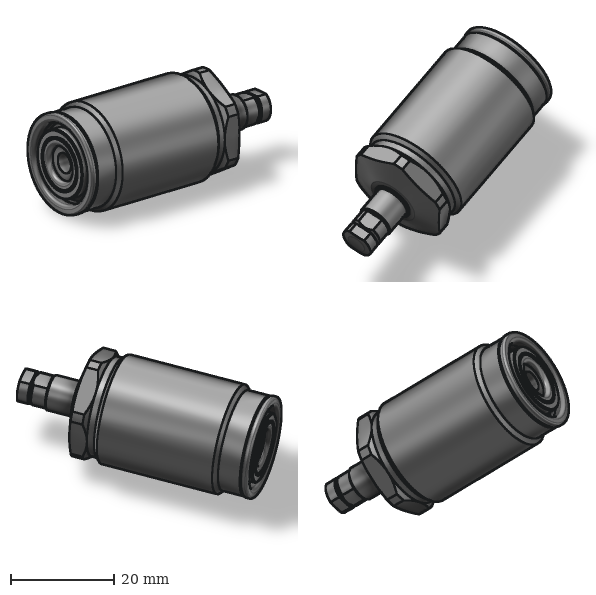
import cadquery as cq
import math

LENGTH = 50.0

SLEEVE_R = 11.0
COLLAR_R = 10.1
SLEEVE_STEP = SLEEVE_R - COLLAR_R
SLEEVE_FRONT = 6.0
SLEEVE_BACK = 31.5
LIP_R = 10.25
LIP_NECK_R = 9.85
LIP_LENGTH = 1.4
LIP_NECK_LENGTH = 0.15
LIP_ROUND = 0.4
MOUTH_R = 9.0
MOUTH_ROUND = 0.75
THROAT_R = MOUTH_R - MOUTH_ROUND
BORE_R = 7.95
BORE_ROUND = THROAT_R - BORE_R
THROAT_DEPTH = 2.0

CORE_NOSE_R = 7.0
CORE_NOSE_LENGTH = 2.0
CORE_NOSE_CHAMFER = 0.2
CORE_SEAT_CHAMFER = 0.15
CORE_CONE_LENGTH = BORE_R - CORE_NOSE_R

CONTACT_R = 5.4
CONTACT_LENGTH = 10.0
CONTACT_CHAMFER = 0.3
CUP_MOUTH_R = 4.35
CUP_ROUND = 0.75
CUP_R = CUP_MOUTH_R - CUP_ROUND
CUP_DEPTH = 1.2
SOCKET_R = 2.05
SOCKET_DEPTH = 5.0
DRILL_POINT_ANGLE = 118.0

HEX_FLATS = 20.0
HEX_CORNER_R = SLEEVE_R
HEX_FRONT = 33.0
HEX_CORNER_FRONT = 33.9
HEX_CORNER_BACK = 36.35
NUT_BACK_R = 5.25
NUT_SHOULDER = 38.05
NUT_BOSS_R = 4.05
NUT_BACK = 38.35

STEM_R = 3.55
STEM_TIP_R = 3.3
STEM_SHOULDER = 43.75
STEM_TIP_START = STEM_SHOULDER + STEM_R - STEM_TIP_R
GROOVE_R = 2.75
GROOVE_FRONT = 47.4
GROOVE_BACK = 47.6
GROOVE_CHAMFER = STEM_TIP_R - GROOVE_R
TIP_CHAMFER_LENGTH = 0.2
TIP_END_R = 2.0
FLATS_WIDTH = 5.6


def revolve(profile):
    """Turn a closed half profile, drawn as (radius, Y), around the Y axis."""
    return profile.close().revolve(360, (0, 0, 0), (0, 1, 0))


def quarter(center_r, center_y, radius, degrees):
    """Point on a round of the half profile, with the angle measured from +radius toward +Y."""
    angle = math.radians(degrees)
    return (center_r + radius * math.cos(angle), center_y + radius * math.sin(angle))


def make_sleeve():
    lip_front_r = LIP_R - LIP_ROUND
    mouth_mid = quarter(MOUTH_R, MOUTH_ROUND, MOUTH_ROUND, 225)
    bore_mid = quarter(THROAT_R, THROAT_DEPTH + BORE_ROUND, BORE_ROUND, 225)
    lip_front_mid = quarter(lip_front_r, LIP_ROUND, LIP_ROUND, -45)
    lip_back = LIP_LENGTH - LIP_ROUND
    lip_back_mid = quarter(LIP_NECK_R, lip_back, LIP_ROUND, 45)
    neck_back = LIP_LENGTH + LIP_NECK_LENGTH
    profile = (
        cq.Workplane("XY")
        .moveTo(MOUTH_R, 0)
        .lineTo(lip_front_r, 0)
        .threePointArc(lip_front_mid, (LIP_R, LIP_ROUND))
        .lineTo(LIP_R, lip_back)
        .threePointArc(lip_back_mid, (LIP_NECK_R, LIP_LENGTH))
        .lineTo(LIP_NECK_R, neck_back)
        .lineTo(COLLAR_R, neck_back)
        .lineTo(COLLAR_R, SLEEVE_FRONT)
        .lineTo(SLEEVE_R, SLEEVE_FRONT + SLEEVE_STEP)
        .lineTo(SLEEVE_R, SLEEVE_BACK - SLEEVE_STEP)
        .lineTo(COLLAR_R, SLEEVE_BACK)
        .lineTo(BORE_R, SLEEVE_BACK)
        .lineTo(BORE_R, THROAT_DEPTH + BORE_ROUND)
        .threePointArc(bore_mid, (THROAT_R, THROAT_DEPTH))
        .lineTo(THROAT_R, MOUTH_ROUND)
        .threePointArc(mouth_mid, (MOUTH_R, 0))
    )
    return revolve(profile)


def make_core():
    profile = (
        cq.Workplane("XY")
        .moveTo(CONTACT_R + CORE_SEAT_CHAMFER, 0)
        .lineTo(CORE_NOSE_R - CORE_NOSE_CHAMFER, 0)
        .lineTo(CORE_NOSE_R, CORE_NOSE_CHAMFER)
        .lineTo(CORE_NOSE_R, CORE_NOSE_LENGTH)
        .lineTo(BORE_R, CORE_NOSE_LENGTH + CORE_CONE_LENGTH)
        .lineTo(BORE_R, SLEEVE_BACK)
        .lineTo(0, SLEEVE_BACK)
        .lineTo(0, CONTACT_LENGTH)
        .lineTo(CONTACT_R, CONTACT_LENGTH)
        .lineTo(CONTACT_R, CORE_SEAT_CHAMFER)
    )
    return revolve(profile)


def make_contact():
    socket_end = CUP_DEPTH + SOCKET_DEPTH
    drill_point = socket_end + SOCKET_R / math.tan(math.radians(DRILL_POINT_ANGLE / 2))
    cup_mid = quarter(CUP_MOUTH_R, CUP_ROUND, CUP_ROUND, 225)
    profile = (
        cq.Workplane("XY")
        .moveTo(CUP_MOUTH_R, 0)
        .lineTo(CONTACT_R - CONTACT_CHAMFER, 0)
        .lineTo(CONTACT_R, CONTACT_CHAMFER)
        .lineTo(CONTACT_R, CONTACT_LENGTH)
        .lineTo(0, CONTACT_LENGTH)
        .lineTo(0, drill_point)
        .lineTo(SOCKET_R, socket_end)
        .lineTo(SOCKET_R, CUP_DEPTH)
        .lineTo(CUP_R, CUP_DEPTH)
        .lineTo(CUP_R, CUP_ROUND)
        .threePointArc(cup_mid, (CUP_MOUTH_R, 0))
    )
    return revolve(profile)


def make_nut():
    hex_front_r = HEX_FLATS / 2
    turned_hex = revolve(
        cq.Workplane("XY")
        .moveTo(0, HEX_FRONT)
        .lineTo(hex_front_r, HEX_FRONT)
        .lineTo(HEX_CORNER_R, HEX_CORNER_FRONT)
        .lineTo(HEX_CORNER_R, HEX_CORNER_BACK)
        .lineTo(NUT_BACK_R, NUT_SHOULDER)
        .lineTo(0, NUT_SHOULDER)
    )
    hex_bar = (
        cq.Workplane("XZ", origin=(0, SLEEVE_BACK, 0))
        .polygon(6, HEX_FLATS, circumscribed=True)
        .extrude(SLEEVE_BACK - LENGTH)
    )
    neck = revolve(
        cq.Workplane("XY")
        .moveTo(0, SLEEVE_BACK)
        .lineTo(COLLAR_R, SLEEVE_BACK)
        .lineTo(hex_front_r, HEX_FRONT)
        .lineTo(0, HEX_FRONT)
    )
    boss = revolve(
        cq.Workplane("XY")
        .moveTo(0, NUT_SHOULDER)
        .lineTo(NUT_BOSS_R, NUT_SHOULDER)
        .lineTo(NUT_BOSS_R, NUT_BACK)
        .lineTo(0, NUT_BACK)
    )
    return turned_hex.intersect(hex_bar).union(neck).union(boss)


def make_stem():
    turned = revolve(
        cq.Workplane("XY")
        .moveTo(0, NUT_BACK)
        .lineTo(STEM_R, NUT_BACK)
        .lineTo(STEM_R, STEM_SHOULDER)
        .lineTo(STEM_TIP_R, STEM_TIP_START)
        .lineTo(STEM_TIP_R, GROOVE_FRONT - GROOVE_CHAMFER)
        .lineTo(GROOVE_R, GROOVE_FRONT)
        .lineTo(GROOVE_R, GROOVE_BACK)
        .lineTo(STEM_TIP_R, GROOVE_BACK)
        .lineTo(STEM_TIP_R, LENGTH - TIP_CHAMFER_LENGTH)
        .lineTo(TIP_END_R, LENGTH)
        .lineTo(0, LENGTH)
    )
    tip_length = LENGTH - STEM_TIP_START
    flat_depth = STEM_R - FLATS_WIDTH / 2
    flat_center_z = FLATS_WIDTH / 2 + flat_depth / 2
    for side in (-1, 1):
        flat = cq.Workplane("XY").box(2 * STEM_R, tip_length, flat_depth)
        turned = turned.cut(flat.translate((0, STEM_TIP_START + tip_length / 2, side * flat_center_z)))
    return turned


sleeve = make_sleeve()
core = make_core()
contact = make_contact()
nut = make_nut()
stem = make_stem()

result = cq.Compound.makeCompound([sleeve.val(), core.val(), contact.val(), nut.val(), stem.val()])